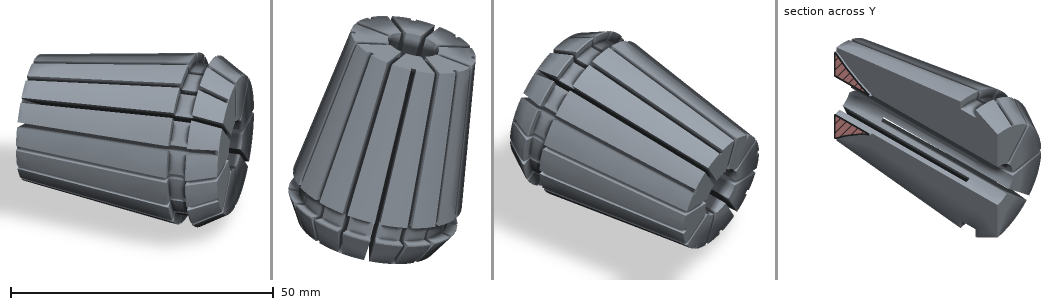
import cadquery as cq
import math

length = 40.0
max_diameter = 33.0
max_radius = max_diameter / 2
bore_radius = 5.0

taper_angle = 8.0
groove_start = 30.8
groove_end = 34.5
groove_radius = 14.55
land_width = 0.3
rim_radius = 13.45

slots_per_end = 8
slot_width = 1.0
cutter_radius = 40.0
bore_overrun = 0.2
slot_floor_end = bore_radius - bore_overrun
nose_slot_floor = 11.35
nose_slot_web = 9.2
tail_slot_floor = 13.6
tail_slot_web = 8.8
clearance = 2.0


def turned_body():
    """Revolve the tapered outline and its bore about the X axis."""
    small_end_radius = max_radius - groove_start * math.tan(math.radians(taper_angle))
    outline = [
        (0, bore_radius),
        (0, small_end_radius),
        (groove_start, max_radius),
        (groove_start, groove_radius),
        (groove_end, groove_radius),
        (groove_end, max_radius),
        (groove_end + land_width, max_radius),
        (length, rim_radius),
        (length, bore_radius),
    ]
    return cq.Workplane("XY").polyline(outline).close().revolve(360, (0, 0, 0), (1, 0, 0))


def floor_midpoint(web, floor_radius):
    """Middle of the concave cutter arc that falls from (0, floor_radius) to the bore."""
    drop = floor_radius - slot_floor_end
    chord = math.hypot(web, drop)
    sag = cutter_radius - math.sqrt(cutter_radius**2 - (chord / 2) ** 2)
    return (web / 2 - sag * drop / chord, (floor_radius + slot_floor_end) / 2 - sag * web / chord)


def slot_cutter(web, floor_radius):
    """One radial slot, open towards +X, whose floor rises out along an arc to X = 0."""
    open_end = length + clearance
    outside = max_radius + clearance
    return (
        cq.Workplane("XZ")
        .moveTo(0, floor_radius)
        .threePointArc(floor_midpoint(web, floor_radius), (web, slot_floor_end))
        .lineTo(web, 0)
        .lineTo(open_end, 0)
        .lineTo(open_end, outside)
        .lineTo(0, outside)
        .close()
        .extrude(slot_width / 2, both=True)
    )


slot_pitch = 360 / slots_per_end
nose_cutter = slot_cutter(nose_slot_web, nose_slot_floor)
tail_cutter = (
    slot_cutter(tail_slot_web, tail_slot_floor)
    .mirror("YZ")
    .translate((length, 0, 0))
    .rotate((0, 0, 0), (1, 0, 0), slot_pitch / 2)
)

slots = [
    slot.rotate((0, 0, 0), (1, 0, 0), index * slot_pitch).val()
    for slot in (nose_cutter, tail_cutter)
    for index in range(slots_per_end)
]

result = cq.Workplane(turned_body().val().cut(*slots))